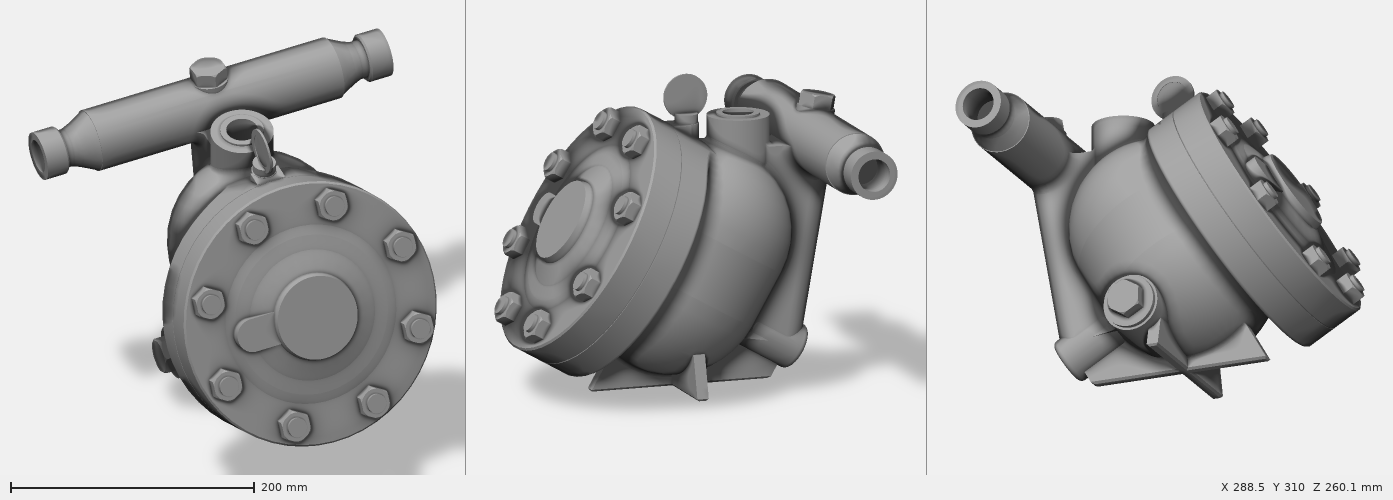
import cadquery as cq
import math


TILT = 30.0
FLANGE_X, FLANGE_Z = 204.0, 138.3
FLANGE_D = 222.0
COVER_THICKNESS = 27.3
FLANGE_THICKNESS = 54.2
RIM_CHAMFER = 1.5
REAR_RIM_FILLET = 3.0
GASKET_GAP = 1.0

DOME_R = 75.0
DOME_SPACING = 50.2
DOME_DEPTH = 98.0
LOWER_DOME_U = -4.5

NECK_FILLET = 9.3

COVER_STEPS = [(75.0, 0), (67.0, 2.0), (55.0, 3.7), (37.0, 10.0), (35.0, 16.5)]
COVER_BAR_WIDTH = 28.0
COVER_BAR_REACH = 69.8
COVER_BAR_HEIGHT = 11.5

BOLT_COUNT = 8
BOLT_CIRCLE_R = 93.0
STUD_D = 16.0
STUD_HEIGHT = 13.3
NUT_CORNERS = 27.5
NUT_HEIGHT = 10.2
STUD_RECESS = 0.5

HEADER_Z = 199.3
HEADER_D = 52.0
HEADER_HALF_LENGTH = 155.0
HEADER_BODY_HALF = 108.5
CONE_START_R = 25.5
CONE_END_R, CONE_END_Y = 18.5, 122.0
NECK_D, NECK_START_Y = 32.0, 129.3
COLLAR_D, COLLAR_START_Y = 40.5, 135.2
COLLAR_CHAMFER = 1.5
HEADER_BORE_D = 27.5
HEADER_BORE_DEPTH = 31.0

LEG_LEAN = 10.0
LEG_LENGTH = 169.3
LEG_D = 38.5
ELBOW_D = 39.7
ELBOW_BACK = 19.0
ELBOW_LENGTH = 80.5
ELBOW_ROUND = 4.3

PLUG_CORNERS = 31.0
HEAD_CHAMFER = 1.5
HEADER_PLUG_TOP = 37.2
HEADER_PLUG_HEIGHT = 11.5
HEADER_PLUG_SEAT_D = 32.0

PORT_X = 63.5
PORT_D = 52.0
PORT_TOP = 223.5
PORT_LIP_D, PORT_LIP_HEIGHT = 36.0, 2.0
PORT_BORE_D, PORT_BORE_DEPTH = 26.0, 31.0

WEB_REACH = 74.5
WEB_TOP = 198.5
WEB_FILLET = 6.2
PORT_FILLET = 3.0

EYE_X = 108.8
STEM_D, STEM_TOP = 21.0, 219.8
EYE_COLLAR_D, EYE_COLLAR_TOP = 19.2, 227.5
EYE_D, EYE_Z = 37.8, 241.2
EYE_THICKNESS, EYE_OFFSET_Y = 2.0, -2.2
EYE_DISH_D, EYE_DISH_DEPTH = 27.5, 0.5
PAD_WIDTH, PAD_END_X, PAD_TOP = 24.8, 123.5, 219.5

DRAIN_X, DRAIN_Z = 102.3, 37.5
DRAIN_D, DRAIN_END = 48.0, 76.0
DRAIN_SEAT_D, DRAIN_SEAT_END = 44.0, 80.3
DRAIN_PLUG_END = 91.8

FOOT_THICKNESS = 10.0
FOOT_CHAMFER = 2.0
FOOT_LEFT, FOOT_RIGHT = 37.5, 193.8
FOOT_HEIGHT = 37.2
FOOT_FILLET = 3.0
CROSS_FOOT_X = 118.5
CROSS_FOOT_HALF_WIDTH = 68.8
CROSS_FOOT_TOP_HALF = 59.0

TOLERANCE = 0.03
SAMPLE = 0.4

COS_T = math.cos(math.radians(TILT))
SIN_T = math.sin(math.radians(TILT))


def flange_plane(height=0):
    """Plane across the flange axis: local x is +Y, local y runs up the cover face."""
    origin = (FLANGE_X + height * COS_T, 0, FLANGE_Z + height * SIN_T)
    return cq.Workplane(cq.Plane(origin=origin, xDir=(0, 1, 0), normal=(COS_T, 0, SIN_T)))


def side_plane(y=0):
    """Plane facing -Y: local x is +X, local y is +Z."""
    return cq.Workplane("XZ", origin=(0, y, 0))


def hexagon(plane, corners, height, spin=0):
    """Hexagon head standing on a plane, its outer corners bevelled by a chamfered cylinder."""
    head = plane.transformed(rotate=(0, 0, spin)).polygon(6, corners).extrude(height)
    blank = plane.circle(corners / 2).extrude(height)
    outer_end = cq.selectors.DirectionMinMaxSelector(plane.plane.zDir)
    return head.intersect(blank.faces(outer_end).chamfer(HEAD_CHAMFER))


def chamber():
    """Half-capsule outline turned about an axis that runs up the flange face."""
    lower = flange_plane(-DOME_DEPTH).plane.toWorldCoords((0, LOWER_DOME_U, 0))
    turning_plane = cq.Plane(origin=lower, xDir=(COS_T, 0, SIN_T), normal=(0, -1, 0))
    corner = DOME_R * math.sqrt(0.5)
    outline = cq.Workplane(turning_plane).moveTo(0, -DOME_R)
    outline = outline.threePointArc((corner, -corner), (DOME_R, 0)).lineTo(DOME_R, DOME_SPACING)
    outline = outline.threePointArc((corner, DOME_SPACING + corner), (0, DOME_SPACING + DOME_R))
    return outline.close().revolve(360, (0, 0), (0, 1))


def neck():
    """Concave flare from the chamber to the back of the flange, trimmed to the flange rim."""
    rear = DOME_DEPTH - FLANGE_THICKNESS
    arc_centre_s = rear - NECK_FILLET
    arc_centre_r = math.sqrt((DOME_R + NECK_FILLET) ** 2 - arc_centre_s ** 2)
    touch = DOME_R / (DOME_R + NECK_FILLET)
    touch_r, touch_s = arc_centre_r * touch, arc_centre_s * touch
    start = math.pi + math.atan2(arc_centre_s, arc_centre_r)
    middle = (start + math.pi / 2) / 2
    bend = (
        arc_centre_r + NECK_FILLET * math.cos(middle),
        arc_centre_s + NECK_FILLET * math.sin(middle),
    )
    lower = flange_plane(-DOME_DEPTH).plane.toWorldCoords((0, LOWER_DOME_U, 0))
    section = cq.Workplane(cq.Plane(origin=lower, xDir=(0, 1, 0), normal=(SIN_T, 0, -COS_T)))
    touch_point, rear_point = (touch_r, touch_s), (arc_centre_r, rear)
    outline = cq.Sketch().segment((0, touch_s), touch_point).arc(touch_point, bend, rear_point)
    outline = outline.segment((0, rear)).close().assemble()
    lower_flare = section.placeSketch(outline).revolve(360, (0, 0), (0, 1))
    straight = section.placeSketch(outline).extrude(-DOME_SPACING)
    rise = (-SIN_T * DOME_SPACING, 0, COS_T * DOME_SPACING)
    flare = lower_flare.union(lower_flare.translate(rise))
    flare = flare.union(straight).union(straight.mirror("XZ"))
    return flare.intersect(flange_plane(-DOME_DEPTH).circle(FLANGE_D / 2).extrude(DOME_DEPTH))


def flange():
    disc = flange_plane(-FLANGE_THICKNESS).circle(FLANGE_D / 2).extrude(FLANGE_THICKNESS)
    front = cq.selectors.DirectionMinMaxSelector(flange_plane().plane.zDir)
    disc = disc.faces(front).chamfer(RIM_CHAMFER)
    groove = flange_plane(-COVER_THICKNESS).circle(FLANGE_D / 2).circle(FLANGE_D / 2 - GASKET_GAP)
    return disc.cut(groove.extrude(GASKET_GAP))


def cover_relief():
    """Stepped dome and radial bar on the outside of the cover."""
    plane = flange_plane()
    half_profile = [(0, 0)] + COVER_STEPS + [(0, COVER_STEPS[-1][1])]
    profile_plane = cq.Plane(origin=plane.plane.origin, xDir=(0, 1, 0), normal=(SIN_T, 0, -COS_T))
    relief = cq.Workplane(profile_plane).polyline(half_profile).close().revolve(360, (0, 0), (0, 1))
    straight = COVER_BAR_REACH - COVER_BAR_WIDTH / 2
    bar = plane.center(-straight / 2, 0).slot2D(straight + COVER_BAR_WIDTH, COVER_BAR_WIDTH)
    return relief.union(bar.extrude(COVER_BAR_HEIGHT))


def bolt_points():
    step = 360 / BOLT_COUNT
    angles = [math.radians(step * (i + 0.5)) for i in range(BOLT_COUNT)]
    return [(BOLT_CIRCLE_R * math.cos(a), BOLT_CIRCLE_R * math.sin(a)) for a in angles]


def cover_bolts():
    bolts = cq.Workplane()
    for across, up in bolt_points():
        centre = flange_plane().center(across, up)
        bolts = bolts.add(hexagon(centre, NUT_CORNERS, NUT_HEIGHT, spin=90))
        bolts = bolts.add(centre.circle(STUD_D / 2).extrude(STUD_HEIGHT))
    return bolts.combine()


def stud_recesses():
    rear = flange_plane(-FLANGE_THICKNESS).pushPoints(bolt_points())
    return rear.circle(STUD_D / 2).extrude(STUD_RECESS)


def header():
    bore_r, neck_r, collar_r = HEADER_BORE_D / 2, NECK_D / 2, COLLAR_D / 2
    bore_floor_y = HEADER_HALF_LENGTH - HEADER_BORE_DEPTH
    end_outline = [
        (HEADER_D / 2, HEADER_BODY_HALF),
        (CONE_START_R, HEADER_BODY_HALF),
        (CONE_END_R, CONE_END_Y),
        (neck_r, NECK_START_Y),
        (neck_r, COLLAR_START_Y),
        (collar_r - COLLAR_CHAMFER, COLLAR_START_Y),
        (collar_r, COLLAR_START_Y + COLLAR_CHAMFER),
        (collar_r, HEADER_HALF_LENGTH),
        (bore_r, HEADER_HALF_LENGTH),
        (bore_r, bore_floor_y),
        (0, bore_floor_y),
    ]
    far_end = [(-r, y) for r, y in end_outline]
    near_end = [(-r, -y) for r, y in reversed(end_outline)]
    outline = cq.Workplane("XY", origin=(0, 0, HEADER_Z)).polyline(far_end + near_end).close()
    return outline.revolve(360, (0, 0), (0, 1))


def leg_plane(height=0):
    """Plane across the leaning leg, at a height above the header axis."""
    lean = math.radians(LEG_LEAN)
    normal = (-math.sin(lean), 0, math.cos(lean))
    origin = (height * normal[0], 0, HEADER_Z + height * normal[2])
    return cq.Workplane(cq.Plane(origin=origin, xDir=(math.cos(lean), 0, math.sin(lean)), normal=normal))


def leg_and_web():
    """Leg with a rounded back, carried straight across into the chamber and the port."""
    section = leg_plane(-LEG_LENGTH).center(WEB_REACH / 2, 0).slot2D(WEB_REACH + LEG_D, LEG_D)
    wall = section.extrude(LEG_LENGTH + LEG_D / 2)
    above = cq.Workplane("XY", origin=(0, 0, WEB_TOP)).rect(2 * LEG_LENGTH, 2 * LEG_LENGTH)
    return wall.cut(above.extrude(LEG_LENGTH))


def elbow():
    joint = leg_plane(-LEG_LENGTH).plane.origin
    back = (joint.x - ELBOW_BACK * COS_T, 0, joint.z - ELBOW_BACK * SIN_T)
    across = cq.Plane(origin=back, xDir=(0, 1, 0), normal=(COS_T, 0, SIN_T))
    tube = cq.Workplane(across).circle(ELBOW_D / 2).extrude(ELBOW_LENGTH)
    back_end = cq.selectors.DirectionMinMaxSelector(across.zDir, False)
    return tube.faces(back_end).edges().fillet(ELBOW_ROUND)


def header_plug():
    base = HEADER_PLUG_TOP - HEADER_PLUG_HEIGHT
    seat = leg_plane().circle(HEADER_PLUG_SEAT_D / 2).extrude(base)
    return seat.union(hexagon(leg_plane(base), PLUG_CORNERS, HEADER_PLUG_HEIGHT))


def top_port():
    base = cq.Workplane("XY", origin=(PORT_X, 0, HEADER_Z - HEADER_D))
    boss = base.circle(PORT_D / 2).extrude(PORT_TOP - HEADER_Z + HEADER_D)
    lip = cq.Workplane("XY", origin=(PORT_X, 0, PORT_TOP)).circle(PORT_LIP_D / 2)
    return boss.union(lip.extrude(PORT_LIP_HEIGHT))


def port_bore():
    mouth = cq.Workplane("XY", origin=(PORT_X, 0, PORT_TOP + PORT_LIP_HEIGHT))
    return mouth.circle(PORT_BORE_D / 2).extrude(-PORT_BORE_DEPTH)


def eye_bolt():
    root = cq.Workplane("XY", origin=(EYE_X, 0, PAD_TOP - PAD_WIDTH))
    stem = root.circle(STEM_D / 2).extrude(STEM_TOP - PAD_TOP + PAD_WIDTH)
    stem = stem.union(root.circle(EYE_COLLAR_D / 2).extrude(EYE_COLLAR_TOP - PAD_TOP + PAD_WIDTH))
    front = EYE_OFFSET_Y - EYE_THICKNESS / 2
    disc = side_plane(front).center(EYE_X, EYE_Z).circle(EYE_D / 2).extrude(-EYE_THICKNESS)
    dish = side_plane(front).center(EYE_X, EYE_Z).circle(EYE_DISH_D / 2).extrude(-EYE_DISH_DEPTH)
    pad_size = (PAD_END_X - EYE_X, PAD_WIDTH, PAD_WIDTH)
    pad_corner = (EYE_X, -PAD_WIDTH / 2, PAD_TOP - PAD_WIDTH)
    pad = cq.Workplane("XY", origin=pad_corner).box(*pad_size, centered=False)
    return stem.union(pad).union(disc.cut(dish))


def drain():
    boss = side_plane().center(DRAIN_X, DRAIN_Z).circle(DRAIN_D / 2).extrude(DRAIN_END)
    seat = side_plane().center(DRAIN_X, DRAIN_Z).circle(DRAIN_SEAT_D / 2).extrude(DRAIN_SEAT_END)
    plug_plane = side_plane(-DRAIN_SEAT_END).center(DRAIN_X, DRAIN_Z)
    plug = hexagon(plug_plane, PLUG_CORNERS, DRAIN_PLUG_END - DRAIN_SEAT_END, spin=90)
    return boss.union(seat).union(plug)


def long_foot():
    slope = FOOT_HEIGHT * SIN_T / COS_T
    outline = [
        (FOOT_LEFT, 0),
        (FOOT_RIGHT, 0),
        (FOOT_RIGHT - slope, FOOT_HEIGHT),
        (FOOT_LEFT - slope, FOOT_HEIGHT),
    ]
    plate = side_plane().polyline(outline).close().extrude(FOOT_THICKNESS / 2, both=True)
    return plate.faces("<Z").chamfer(FOOT_CHAMFER)


def cross_foot():
    outline = [
        (-CROSS_FOOT_HALF_WIDTH, 0),
        (CROSS_FOOT_HALF_WIDTH, 0),
        (CROSS_FOOT_TOP_HALF, FOOT_HEIGHT),
        (-CROSS_FOOT_TOP_HALF, FOOT_HEIGHT),
    ]
    plate = cq.Workplane("YZ", origin=(CROSS_FOOT_X, 0, 0)).polyline(outline).close()
    return plate.extrude(FOOT_THICKNESS / 2, both=True).faces("<Z").chamfer(FOOT_CHAMFER)


def near(value, target):
    return abs(value - target) < TOLERANCE


def under_header(edge):
    """Seam of the leg and web on the underside of the header pipe."""
    point = edge.positionAt(SAMPLE)
    on_pipe = near(math.hypot(point.x, point.z - HEADER_Z), HEADER_D / 2)
    below_web_top = edge.Center().z < WEB_TOP - TOLERANCE
    return on_pipe and below_web_top and abs(point.y) < LEG_D


def on_dome(edge):
    """True when the edge lies on the outer surface of the chamber."""
    frame = flange_plane(-DOME_DEPTH).plane
    for position in (SAMPLE / 2, SAMPLE, 2 * SAMPLE):
        point = frame.toLocalCoords(edge.positionAt(position))
        nearest_u = min(max(point.y, LOWER_DOME_U), LOWER_DOME_U + DOME_SPACING)
        if not near(math.hypot(point.x, point.y - nearest_u, point.z), DOME_R):
            return False
    return True


def web_seam(edge):
    return on_dome(edge) and near(abs(edge.Center().y), LEG_D / 2)


def port_seam(edge):
    """Curved seams around the foot of the port, without its own seam line or top rim."""
    point = edge.positionAt(SAMPLE)
    on_port = near(math.hypot(point.x - PORT_X, point.y), PORT_D / 2)
    return on_port and point.z < PORT_TOP - TOLERANCE and edge.geomType() != "LINE"


def foot_seam(edge):
    low = edge.Center().z < FOOT_HEIGHT
    return low and on_dome(edge) and near(abs(edge.Center().y), FOOT_THICKNESS / 2)


def rear_rim(edge):
    point = flange_plane(-FLANGE_THICKNESS).plane.toLocalCoords(edge.positionAt(SAMPLE))
    return near(point.z, 0) and near(math.hypot(point.x, point.y), FLANGE_D / 2)


arm = header().union(leg_and_web()).edges().filter(under_header).fillet(WEB_FILLET)
body = chamber().union(arm).union(top_port())
body = body.edges().filter(web_seam).fillet(WEB_FILLET)
body = body.edges().filter(port_seam).fillet(PORT_FILLET)
body = body.union(elbow()).union(long_foot())
body = body.edges().filter(foot_seam).fillet(FOOT_FILLET).union(cross_foot())

flanges = flange().union(neck()).edges().filter(rear_rim).fillet(REAR_RIM_FILLET)

result = body.union(flanges)
for feature in (cover_relief(), cover_bolts(), header_plug(), eye_bolt(), drain()):
    result = result.union(feature)
result = result.cut(stud_recesses()).cut(port_bore())